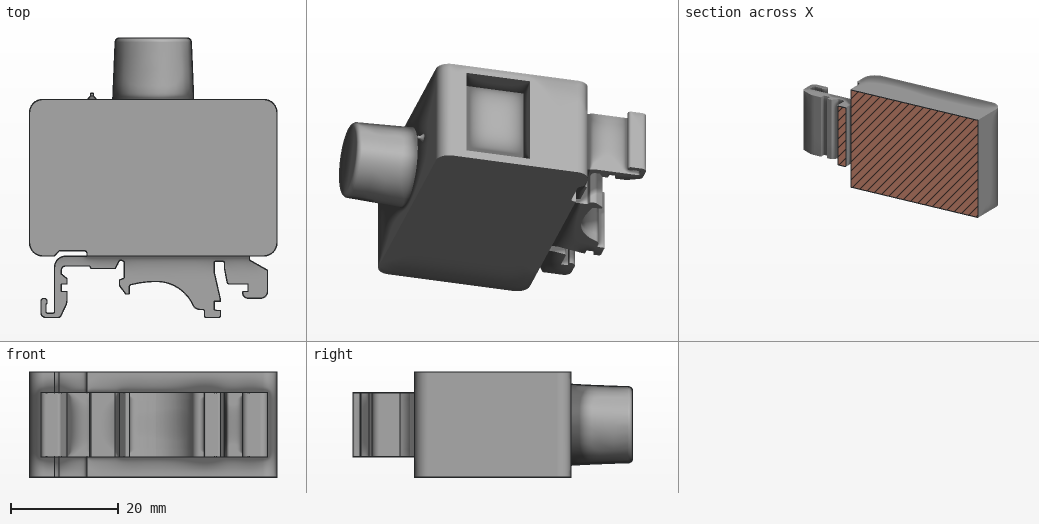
import cadquery as cq
import math

body_length = 46.0
body_height = 29.1
body_thickness = 19.6
body_corner_radius = 2.5
clip_thickness = 11.9
clip_depth = 11.45
button_height = 11.45

pocket_height = 12.25
pocket_top_gap = 5.2
pocket_width = 16.6
pocket_depth = 4.75

notch_depth = 1.0
notch_right = -12.3
notch_slope = 0.9
notch_corner_radius = 0.5

button_base_radius = 7.55
button_top_radius = 7.05
button_rim_radius = 0.9

nub_x = -11.4
nub_base_radius = 0.85
nub_neck_radius = 0.3
nub_neck_height = 0.6
nub_height = 1.2

edge_radius = 0.2

arm_left = -18.35
arm_inner = -17.05
arm_tooth = -16.0
arm_shoulder_radius = 2.1
beam_thickness = 1.85
pad_thickness = 2.35
hook_left = -20.9
hook_top = -7.85
hook_slot_left = -19.9
hook_lip = -19.7
hook_floor = -10.6
hook_lip_bottom = -8.75
hook_lip_height = 0.25
hook_floor_radius = 0.3
hook_tip_radius = 0.55
hook_heel_radius = 1.0
arm_toe_x = -17.3
arm_toe_radius = 0.75
arm_taper_top = -8.75
arm_taper_radius = 2.6
tooth_top = -4.2
tooth_root = -3.35
arm_inner_radius = 0.75
pad_left = -11.55
pad_right = -7.05
pad_step = 0.25
relief_peak_x = -6.2
relief_peak_y = -0.7
relief_peak_radius = 0.25
relief_right_y = -1.05

finger_left = -6.3
finger_shank_left = -5.4
finger_tip = -7.05
finger_tip_left = -5.1
finger_tip_radius = 0.25
finger_neck = -4.1
finger_shoulder = -4.4
finger_bevel_top = -5.5
finger_bevel_radius = 0.85

saddle_left = -4.4
saddle_crown_x = 0.55
saddle_crown_y = -4.75
saddle_wide_radius = 18.7
saddle_tight_radius = 7.5
saddle_flare_x = 7.4
saddle_corner_radius = 0.3
foot_left = 9.5
foot_right = 12.55
foot_top = -9.95
foot_corner_radius = 0.3
foot_toe_radius = 0.4
foot_toe_left = 11.75
foot_toe_top = -10.1
foot_groove_top = -8.4
block_tip_right = 12.5
block_tip_top = -7.95
block_taper_top = -2.95

slot_left = 11.35
slot_right = 13.2
slot_top = -1.0
slot_corner_radius = 0.25

jaw_neck_x = 17.9
jaw_right = 21.25
jaw_bottom = -7.85
jaw_lip_left = 16.6
jaw_throat_right = 17.6
jaw_throat_left = 13.8
jaw_throat_radius = 0.45
jaw_neck_bottom = -0.75
jaw_slope_bottom = -2.65
jaw_heel_radius = 1.35
jaw_lip_radius = 1.05
jaw_taper_top = -2.25

groove_top = -5.2
groove_bottom = -6.55

overlap = 2.1


def corner_arc(before, corner, after, radius):
    """Start, middle and end of the arc that rounds one corner of an outline."""
    corner_point = cq.Vector(*corner)
    to_before = (cq.Vector(*before) - corner_point).normalized()
    to_after = (cq.Vector(*after) - corner_point).normalized()
    half_angle = to_before.getAngle(to_after) / 2
    setback = radius / math.tan(half_angle)
    bisector = (to_before + to_after).normalized()
    reach = radius / math.sin(half_angle) - radius
    return (
        corner_point + to_before * setback,
        corner_point + bisector * reach,
        corner_point + to_after * setback,
    )


def prism(corners, thickness):
    """Extrude an outline of (x, y) or (x, y, corner radius), centred on Z = 0."""
    points = [corner[:2] for corner in corners]
    outline = cq.Workplane("XY").moveTo(*points[0])
    for index in range(1, len(corners)):
        point = points[index]
        if len(corners[index]) == 3:
            after = points[(index + 1) % len(points)]
            start, middle, end = corner_arc(points[index - 1], point, after, corners[index][2])
            outline = outline.lineTo(start.x, start.y)
            outline = outline.threePointArc((middle.x, middle.y), (end.x, end.y))
        else:
            outline = outline.lineTo(*point)
    return outline.close().extrude(thickness / 2, both=True)


def make_housing():
    housing = (
        cq.Workplane("XY")
        .box(body_length, body_height, body_thickness)
        .edges("|Z")
        .fillet(body_corner_radius)
        .translate((0, body_height / 2, 0))
    )
    notch = prism(
        [
            (arm_left, 0),
            (arm_left + notch_slope, notch_depth),
            (notch_right, notch_depth, notch_corner_radius),
            (notch_right, 0),
        ],
        body_thickness,
    )
    pocket_center_x = (pocket_depth - body_length) / 2
    pocket_center_y = body_height - pocket_top_gap - pocket_height / 2
    pocket = cq.Workplane("XY").box(pocket_depth, pocket_height, pocket_width)
    return housing.cut(notch).cut(pocket.translate((pocket_center_x, pocket_center_y, 0)))


def make_button():
    button = (
        cq.Workplane("XY")
        .lineTo(-button_base_radius, 0)
        .lineTo(-button_top_radius, button_height)
        .lineTo(0, button_height)
        .close()
        .revolve(360, (0, 0, 0), (0, 1, 0))
        .faces(">Y")
        .edges()
        .fillet(button_rim_radius)
    )
    return button.translate((0, body_height, 0))


def make_nub():
    nub = (
        cq.Workplane("XY")
        .lineTo(nub_base_radius, 0)
        .lineTo(nub_neck_radius, nub_neck_height)
        .lineTo(nub_neck_radius, nub_height - nub_neck_radius)
        .radiusArc((0, nub_height), -nub_neck_radius)
        .close()
        .revolve(360, (0, 0, 0), (0, 1, 0))
    )
    return nub.translate((nub_x, body_height, 0))


def make_spring_arm():
    return prism(
        [
            (saddle_left + overlap, 0),
            (arm_left, 0, arm_shoulder_radius),
            (arm_left, hook_floor, hook_floor_radius),
            (hook_slot_left, hook_floor, hook_floor_radius),
            (hook_slot_left, hook_lip_bottom - hook_lip_height),
            (hook_lip, hook_lip_bottom),
            (hook_lip, hook_top, hook_tip_radius),
            (hook_left, hook_top, hook_tip_radius),
            (hook_left, -clip_depth, hook_heel_radius),
            (arm_toe_x, -clip_depth, arm_toe_radius),
            (arm_tooth, arm_taper_top, arm_taper_radius),
            (arm_tooth, groove_bottom),
            (arm_inner, groove_bottom),
            (arm_inner, groove_top),
            (arm_tooth, groove_top),
            (arm_tooth, tooth_top),
            (arm_inner, tooth_root),
            (arm_inner, -beam_thickness, arm_inner_radius),
            (pad_left - pad_step, -beam_thickness),
            (pad_left, -pad_thickness),
            (pad_right, -pad_thickness),
            (relief_peak_x, relief_peak_y, relief_peak_radius),
            (finger_shank_left, relief_right_y, edge_radius),
            (finger_shank_left, -overlap),
            (saddle_left + overlap, -overlap),
        ],
        clip_thickness,
    )


def make_finger():
    return prism(
        [
            (finger_shank_left, -overlap),
            (finger_shank_left, finger_neck, edge_radius),
            (finger_left, finger_shoulder, edge_radius),
            (finger_left, finger_bevel_top, finger_bevel_radius),
            (finger_tip_left, finger_tip, edge_radius),
            (saddle_left, finger_tip, finger_tip_radius),
            (saddle_left, saddle_crown_y),
            (saddle_left + overlap, saddle_crown_y),
            (saddle_left + overlap, -overlap),
        ],
        clip_thickness,
    )


def make_saddle_block():
    block = prism(
        [
            (saddle_left, 0),
            (saddle_left, -clip_depth),
            (foot_right, -clip_depth, foot_toe_radius),
            (foot_right, foot_toe_top),
            (foot_toe_left, foot_toe_top),
            (slot_left, foot_top),
            (slot_left, foot_groove_top),
            (block_tip_right, foot_groove_top),
            (block_tip_right, block_tip_top),
            (slot_left, block_taper_top),
            (slot_left, 0),
        ],
        clip_thickness,
    )
    tight_center_y = saddle_crown_y - saddle_tight_radius
    saddle_start_x = saddle_left + saddle_corner_radius
    wide_drop = saddle_wide_radius - math.sqrt(
        saddle_wide_radius**2 - (saddle_crown_x - saddle_start_x) ** 2
    )
    saddle_start_y = saddle_crown_y - wide_drop
    flare_angle = math.acos((saddle_flare_x - saddle_crown_x) / saddle_tight_radius)
    flare_y = tight_center_y + saddle_tight_radius * math.sin(flare_angle)
    flare_run = (flare_y - foot_top) * math.tan(math.pi / 4 + flare_angle / 2)
    foot_round_x = foot_left - foot_corner_radius
    saddle = (
        cq.Workplane("XY")
        .moveTo(saddle_left, -clip_depth)
        .lineTo(saddle_left, saddle_start_y - saddle_corner_radius)
        .radiusArc((saddle_start_x, saddle_start_y), saddle_corner_radius)
        .radiusArc((saddle_crown_x, saddle_crown_y), saddle_wide_radius)
        .radiusArc((saddle_flare_x, flare_y), saddle_tight_radius)
        .tangentArcPoint((saddle_flare_x + flare_run, foot_top), relative=False)
        .lineTo(foot_round_x, foot_top)
        .radiusArc((foot_left, foot_top - foot_corner_radius), foot_corner_radius)
        .lineTo(foot_left, foot_corner_radius - clip_depth)
        .radiusArc((foot_left + foot_corner_radius, -clip_depth), -foot_corner_radius)
        .close()
        .extrude(clip_thickness / 2, both=True)
    )
    return block.cut(saddle)


def make_fixed_jaw():
    return prism(
        [
            (slot_left - overlap, 0),
            (jaw_neck_x, 0),
            (jaw_neck_x, jaw_neck_bottom, edge_radius),
            (jaw_right, jaw_slope_bottom),
            (jaw_right, jaw_bottom, jaw_heel_radius),
            (jaw_lip_left, jaw_bottom, jaw_lip_radius),
            (jaw_lip_left, groove_bottom, edge_radius),
            (jaw_throat_right, groove_bottom),
            (jaw_throat_right, groove_top),
            (jaw_throat_left, groove_top, jaw_throat_radius),
            (slot_right, jaw_taper_top),
            (slot_right, slot_top, slot_corner_radius),
            (slot_left, slot_top, slot_corner_radius),
            (slot_left, -overlap),
            (slot_left - overlap, -overlap),
        ],
        clip_thickness,
    )


result = (
    make_housing()
    .union(make_button())
    .union(make_nub())
    .union(make_spring_arm())
    .union(make_finger())
    .union(make_saddle_block())
    .union(make_fixed_jaw())
)